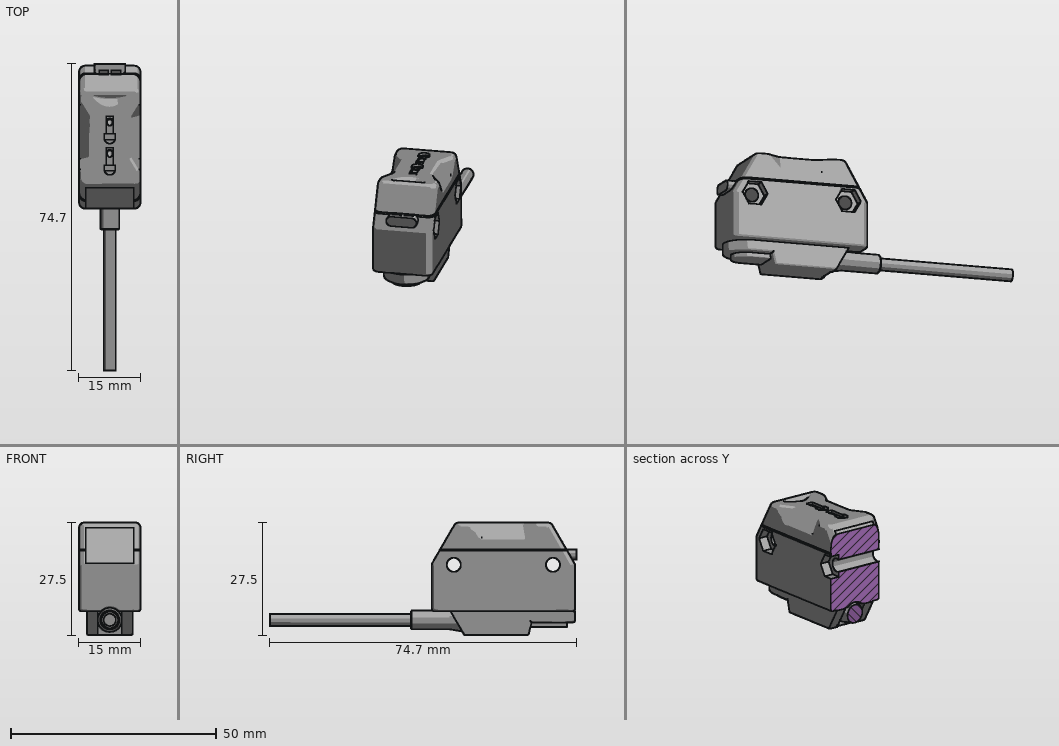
import cadquery as cq
import math

width = 15.0
length = 34.9
height = 21.7
shoulder_height = 11.5
slope = math.radians(30)
corner_radius = 1.65
top_radius = 1.35
bottom_radius = 0.7
shoulder_radius = 0.7
half_width = width / 2
half_length = length / 2
top_half_length = half_length - (height - shoulder_height) * math.tan(slope)
flat_half_width = half_width - corner_radius
margin = 0.15

groove_z = 14.7
groove_height = 0.4
groove_depth = 0.1

grip_drop = 4.1
grip_top_depth = 2.8
grip_top_half_length = 4.6
grip_bottom_half_length = 5.3
grip_flare = 1.6
grip_corner_radius = 0.6
grip_reach = 9.0

mount_spacing = 24.1
mount_z = 11.35
mount_diameter = 3.35
nut_across_flats = 5.6
nut_depth = 2.5

window_thickness = 0.04
window_bottom_z = 11.7
window_top_z = 20.4

button_width = 7.55
button_height = 2.5
button_top_z = 15.1
button_end_y = 17.85
button_root_y = 11.95
notch_width = 2.25
notch_spacing = 3.0
notch_start_y = 16.3
notch_end_y = 15.2

scoop_wall_y = 10.2
scoop_half_width = 4.5
scoop_run = 2.85
scoop_tilt = math.radians(30)
scoop_edge_radius = 0.3
scoop_floor_radius = 0.45

adjuster_pitch = 7.6
adjuster_end_y = 5.1
adjuster_width = 1.7
adjuster_head_diameter = 2.7
adjuster_head_offset = 5.3
adjuster_depth = 0.7
step_length = 1.4
step_extra_depth = 0.45
trimmer_offset = 1.4
trimmer_diameter = 1.3
trimmer_depth = 1.5
trimmer_tilt = 45

foot_width = 11.2
foot_drop = 5.75
heel_drop = 2.7
heel_end_y = 6.9
step_run = 0.75
toe_y = -9.5
toe_top_y = -12.85
foot_radius = 0.5
pad_width = 7.3
pad_drop = 3.8
pad_root_y = 3.0
pad_radius = 0.2
foot_half_width = foot_width / 2
round_centre_y = half_length - foot_half_width

cord_z = -2.055
cord_end_y = -56.85
wire_radius = 1.5
boot_radius = 2.3
boot_flare_radius = 2.95
boot_flare_y = -13.15
boot_end_y = -22.55
boot_edge = 0.3


def edge_box(low_y, high_y, z, half_x=half_width):
    """Selector for edges centred at height z between two Y values."""
    return cq.selectors.BoxSelector(
        (-half_x - margin, low_y - margin, z - margin),
        (half_x + margin, high_y + margin, z + margin),
    )


def block(half_x, end_inset=0):
    """Block with sloped, rounded ends, reaching half_x to either side."""
    end_y = half_length - end_inset
    top_y = top_half_length - end_inset
    outline = [
        (-end_y, 0),
        (end_y, 0),
        (end_y, shoulder_height),
        (top_y, height),
        (-top_y, height),
        (-end_y, shoulder_height),
    ]
    body = cq.Workplane("YZ").polyline(outline).close().extrude(half_x, both=True)
    return body.faces("<X or >X").edges("not |Y").fillet(corner_radius)


def grip_section(depth, half_inner):
    """Corner points of a grip at one level, from outside the side face inwards."""
    overhang = 0.75
    half_outer = half_inner + grip_flare * (depth + overhang)
    outer_x = -half_width - overhang
    inner_x = -half_width + depth
    return [(outer_x, -half_outer), (inner_x, -half_inner), (inner_x, half_inner), (outer_x, half_outer)]


def grip_cutter():
    upper = grip_section(grip_top_depth, grip_top_half_length)
    lower = grip_section(0, grip_bottom_half_length)
    return (
        cq.Workplane("XY", origin=(0, 0, height - grip_drop)).polyline(lower).close()
        .workplane(offset=grip_drop).polyline(upper).close().loft(ruled=True)
    )


def groove_cutter():
    """Shallow band around the block, left out across the window."""
    ring = (
        cq.Workplane("XY", origin=(0, 0, groove_z + groove_height / 2))
        .box(2 * width, 2 * length, groove_height)
    )
    core = block(half_width - groove_depth, groove_depth)
    window_zone = (
        cq.Workplane("XY", origin=(0, -length, groove_z))
        .box(2 * flat_half_width, 2 * length, height)
    )
    return ring.cut(core).cut(window_zone)


def mount_cutters():
    """Two through holes, each with a nut pocket in the -X side."""
    points = [(-mount_spacing / 2, mount_z), (mount_spacing / 2, mount_z)]
    holes = cq.Workplane("YZ").pushPoints(points).circle(mount_diameter / 2).extrude(width, both=True)
    nut_corners = nut_across_flats / math.cos(math.pi / 6)
    nuts = (
        cq.Workplane("YZ", origin=(-half_width, 0, 0)).pushPoints(points)
        .polygon(6, nut_corners).extrude(nut_depth)
    )
    return holes.union(nuts)


def front_slope_y(z):
    """Y of the front slope at height z."""
    return -half_length + (z - shoulder_height) * math.tan(slope)


def window():
    """Thin plate on the flat of the front slope."""
    offset = window_thickness / math.cos(slope)
    low_y = front_slope_y(window_bottom_z)
    high_y = front_slope_y(window_top_z)
    section = [
        (low_y, window_bottom_z),
        (high_y, window_top_z),
        (high_y - offset, window_top_z),
        (low_y - offset, window_bottom_z),
    ]
    plate = cq.Workplane("YZ").polyline(section).close().extrude(flat_half_width, both=True)
    return plate.intersect(cq.Workplane("XY").box(width, length, 4 * height))


def button():
    """Flattened round button on the rear slope."""
    return (
        cq.Workplane("XZ", origin=(0, button_end_y, button_top_z - button_height / 2))
        .slot2D(button_width, button_height).extrude(button_end_y - button_root_y)
    )


def notch_cutter():
    """Two wedges for the top of the button."""
    depth = (notch_start_y - notch_end_y) / math.tan(slope)
    wedge = [
        (notch_start_y, button_top_z),
        (notch_end_y, button_top_z),
        (notch_end_y, button_top_z - depth),
    ]
    notch = cq.Workplane("YZ").polyline(wedge).close().extrude(notch_width / 2, both=True)
    left = notch.translate((-notch_spacing / 2, 0, 0))
    return left.union(left.mirror("YZ"))


def scoop_cutter():
    """Tilted cylinder that dips towards the rear and ends in a flat wall."""
    sag = scoop_run * math.sin(scoop_tilt)
    radius = (scoop_half_width**2 + sag**2) / (2 * sag)
    plane = cq.Plane(
        origin=(0, scoop_wall_y, height),
        xDir=(1, 0, 0),
        normal=(0, -math.cos(scoop_tilt), math.sin(scoop_tilt)),
    )
    cylinder = cq.Workplane(plane).center(0, radius - sag).circle(radius).extrude(length)
    wall = cq.selectors.DirectionMinMaxSelector(plane.zDir, False)
    return cylinder.faces(wall).edges().fillet(scoop_floor_radius)


def adjuster_cutter(end_y):
    """Keyhole slot with a stepped head and a tilted trimmer hole, its closed end at end_y."""
    head_y = end_y - adjuster_head_offset
    top = cq.Workplane("XY", origin=(0, 0, height))
    stem = (
        top.center(0, end_y - adjuster_head_offset / 2)
        .rect(adjuster_width, adjuster_head_offset).extrude(-adjuster_depth)
    )
    head = top.center(0, head_y).circle(adjuster_head_diameter / 2).extrude(-adjuster_depth)
    step = (
        top.center(0, head_y + step_length / 4)
        .rect(adjuster_head_diameter, step_length).extrude(-adjuster_depth - step_extra_depth)
    )
    trimmer = (
        cq.Workplane("XY").circle(trimmer_diameter / 2).extrude(trimmer_depth, both=True)
        .rotate((0, 0, 0), (1, 0, 0), trimmer_tilt)
        .translate((0, end_y - trimmer_offset, height - adjuster_depth))
    )
    return stem.union(head).union(step).union(trimmer)


def boot_recess():
    """Clearance in the housing front around the flared end of the boot."""
    return (
        cq.Workplane("XZ", origin=(0, toe_y, cord_z))
        .circle(boot_flare_radius).extrude(length)
    )


def rounded_plan(half_x, drop, front_y=-half_length):
    """Slab hanging below Z = 0 with a round rear end."""
    return (
        cq.Workplane("XY").moveTo(-half_x, front_y).lineTo(half_x, front_y)
        .lineTo(half_x, round_centre_y)
        .threePointArc((0, round_centre_y + half_x), (-half_x, round_centre_y))
        .close().extrude(-drop)
    )


def foot():
    """Stepped foot with a rounded rear end and a slot for the cord boot."""
    profile = [
        (half_length, 0),
        (half_length, -heel_drop),
        (heel_end_y, -heel_drop),
        (heel_end_y - step_run, -foot_drop),
        (toe_y, -foot_drop),
        (toe_top_y, 0),
    ]
    body = cq.Workplane("YZ").polyline(profile).close().extrude(foot_half_width, both=True)
    slot = (
        cq.Workplane("XY", origin=(0, toe_y - half_length, -foot_drop / 2))
        .box(2 * boot_flare_radius, length, foot_drop)
    )
    body = body.intersect(rounded_plan(foot_half_width, foot_drop)).cut(slot)
    heel_rim = edge_box(heel_end_y + 2 * margin, half_length, -heel_drop)
    step_sides = edge_box(heel_end_y - step_run, heel_end_y, -(heel_drop + foot_drop) / 2)
    bottom_rim = edge_box(toe_y + 2 * margin, heel_end_y, -foot_drop)
    slot_lip = cq.selectors.BoxSelector(
        (-margin, toe_y - margin, -foot_drop - margin),
        (margin, toe_y + margin, -foot_drop + margin),
    )
    return body.edges(heel_rim + step_sides + bottom_rim + slot_lip).fillet(foot_radius)


def pad():
    """Round-ended pad under the heel, its straight end inside the foot."""
    slab = rounded_plan(pad_width / 2, pad_drop, pad_root_y)
    return slab.faces("<Z").edges().fillet(pad_radius)


def cut_grips(body):
    """Cut a finger grip into both sides and round its rim with the top edges."""
    grip = grip_cutter()
    body = body.cut(grip).cut(grip.mirror("YZ"))
    grip_middle_z = height - grip_drop / 2
    corners = edge_box(-top_half_length, top_half_length, grip_middle_z, half_width - 2 * margin)
    body = body.edges(corners).fillet(grip_corner_radius)
    side_zone = cq.selectors.BoxSelector(
        (-half_width - margin, -grip_reach, height - grip_drop - margin),
        (half_width + margin, grip_reach, grip_middle_z + margin),
    )
    side_edges = body.faces("<X or >X").edges(side_zone)
    rim = side_edges.vals() + body.faces(">Z").edges().vals()
    return body.newObject(rim).fillet(top_radius)


def cut_boot_recess(body):
    """Recess for the boot, its lip rounded together with the bottom edges."""
    body = body.cut(boot_recess())
    edges = body.faces("<Z").edges().vals() + body.faces("<Y").edges("%CIRCLE").vals()
    return body.newObject(edges).fillet(bottom_radius)


def cut_scoop(body):
    body = body.cut(scoop_cutter())
    rim = edge_box(0, scoop_wall_y + margin, height, scoop_half_width)
    return body.faces(">Z").edges(rim).fillet(scoop_edge_radius)


def make_housing():
    body = cut_grips(block(half_width))
    shoulders = edge_box(-half_length, half_length, shoulder_height)
    body = body.edges("|X").edges(shoulders).fillet(shoulder_radius)
    body = cut_scoop(cut_boot_recess(body))
    for end_y in (adjuster_end_y, adjuster_end_y - adjuster_pitch):
        body = body.cut(adjuster_cutter(end_y))
    body = body.cut(groove_cutter())
    body = body.union(window()).union(button()).cut(notch_cutter())
    body = body.cut(mount_cutters())
    return body.union(foot()).union(pad())


def make_cord():
    """Flared strain-relief boot and round wire, turned about the cord axis."""
    section = [
        (0, toe_y),
        (boot_flare_radius, toe_y),
        (boot_radius, boot_flare_y),
        (boot_radius, boot_end_y + boot_edge),
        (boot_radius - boot_edge, boot_end_y),
        (wire_radius, boot_end_y),
        (wire_radius, cord_end_y),
        (0, cord_end_y),
    ]
    turned = cq.Workplane("XY").polyline(section).close().revolve(360, (0, 0, 0), (0, 1, 0))
    return turned.translate((0, 0, cord_z))


housing = make_housing()
cord = make_cord()

result = cq.Compound.makeCompound([housing.val(), cord.val()])